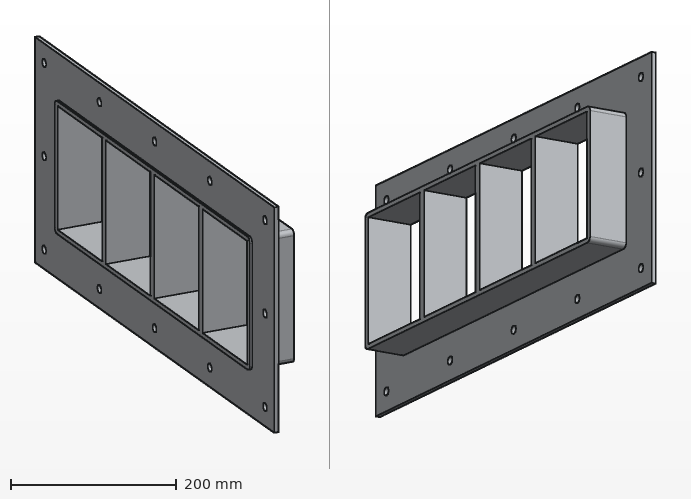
import cadquery as cq

plate_length = 644.0
plate_height = 292.0
plate_thickness = 6.0

frame_length = 525.0
frame_height = 172.0
frame_depth = 60.0
frame_lip = 3.0
frame_side_wall = 8.0
frame_top_wall = 6.0
frame_corner_radius = 6.5

opening_count = 4
divider_thickness = 10.0

hole_diameter = 10.0
hole_span_x = 594.0
hole_span_z = 241.5
holes_per_row = 5


def block(length, depth, height, front):
    """Box centred in X and Z that runs from y = front towards +Y."""
    return cq.Workplane("XY").box(length, depth, height, centered=(True, False, True)).translate((0, front, 0))


def bolt_positions():
    """Rows along the top and bottom edges, plus one hole midway up each end."""
    pitch = hole_span_x / (holes_per_row - 1)
    row = [-hole_span_x / 2 + i * pitch for i in range(holes_per_row)]
    edges = [(x, z) for x in row for z in (-hole_span_z / 2, hole_span_z / 2)]
    ends = [(x, 0) for x in (row[0], row[-1])]
    return edges + ends


def make_plate():
    plate = block(plate_length, plate_thickness, plate_height, 0)
    holes = (
        cq.Workplane("XZ")
        .pushPoints(bolt_positions())
        .circle(hole_diameter / 2)
        .extrude(-plate_thickness)
    )
    return plate.cut(holes)


def make_frame():
    frame = block(frame_length, frame_depth, frame_height, -frame_lip)
    return frame.edges("|Y").fillet(frame_corner_radius)


def make_openings():
    inner_length = frame_length - 2 * frame_side_wall
    opening_length = (inner_length - (opening_count - 1) * divider_thickness) / opening_count
    opening_height = frame_height - 2 * frame_top_wall
    pitch = opening_length + divider_thickness
    opening = block(opening_length, frame_depth, opening_height, -frame_lip)
    openings = cq.Workplane("XY")
    for i in range(opening_count):
        offset = (i - (opening_count - 1) / 2) * pitch
        openings = openings.add(opening.translate((offset, 0, 0)))
    return openings.combine()


result = make_plate().union(make_frame()).cut(make_openings())